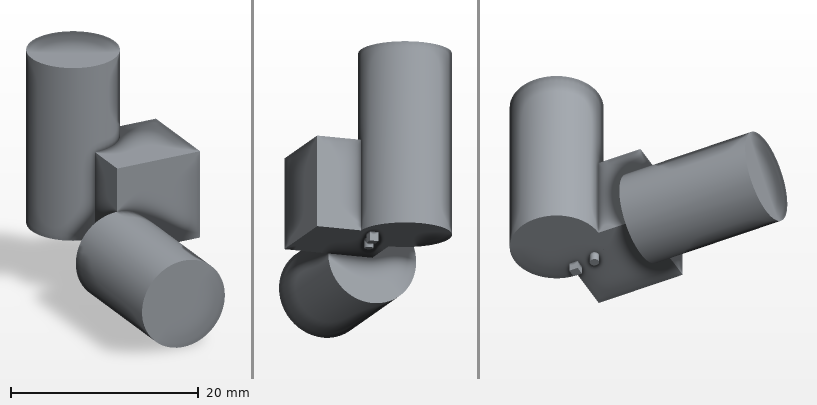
import cadquery as cq

overall_length = 30.0
cylinder_diameter = overall_length / 3
cylinder_radius = cylinder_diameter / 2

upright_height = 2 * cylinder_diameter

block_side = cylinder_diameter

lying_length = overall_length - cylinder_radius - block_side

foot_size = cylinder_diameter / 10
foot_offset = 3 * foot_size


def make_upright_cylinder():
    return cq.Workplane("XY").circle(cylinder_radius).extrude(upright_height)


def make_block(upright):
    """Cube with the quarter-round recess that seats the upright cylinder."""
    cube = cq.Workplane("XY").box(block_side, block_side, block_side, centered=False)
    return cube.cut(upright)


def make_lying_cylinder():
    return (
        cq.Workplane("YZ", origin=(block_side, 0, 0))
        .circle(cylinder_radius)
        .extrude(lying_length)
    )


def make_square_foot():
    return (
        cq.Workplane("XY", origin=(0, foot_offset, -foot_size))
        .box(foot_size, foot_size, foot_size, centered=False)
    )


def make_round_foot():
    return (
        cq.Workplane("XY", origin=(foot_offset, foot_offset, -foot_size))
        .circle(foot_size / 2)
        .extrude(foot_size)
    )


upright_cylinder = make_upright_cylinder()
block = make_block(upright_cylinder)
lying_cylinder = make_lying_cylinder()
square_foot = make_square_foot()
round_foot = make_round_foot()

result = cq.Compound.makeCompound([
    upright_cylinder.val(),
    *block.solids().vals(),
    lying_cylinder.val(),
    square_foot.val(),
    round_foot.val(),
])